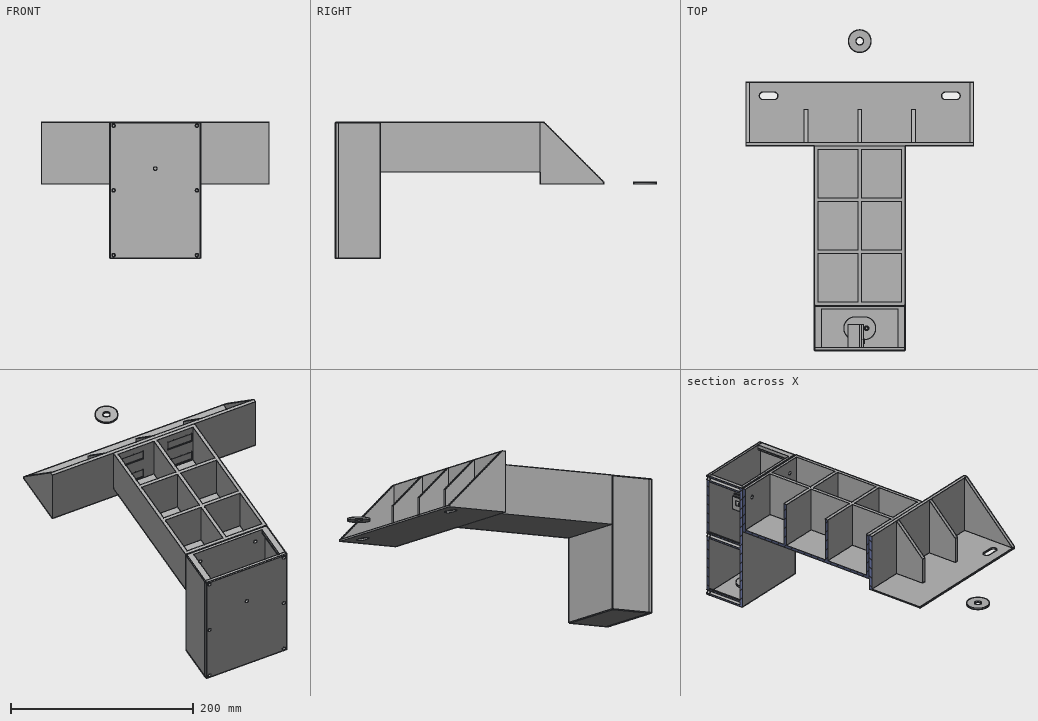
import cadquery as cq
WALL = 4.0
TOP_Z = 150.0
ARM_WIDTH = 100.0
EDGE_CHAMFER = 1.0

BOX_DEPTH = 50.0
LID_THICKNESS = 4.0
BOX_OPENING_WIDTH = 84.0
LID_SCREW_X = 45.75
LID_SCREW_HEIGHTS = (WALL, TOP_Z / 2, TOP_Z - WALL)
LID_SCREW_CLEARANCE = 3.8
LID_SCREW_PILOT = 2.95
LID_SCREW_BOSS = 8.0
SHAFT_HOLE = 4.0
SHAFT_Z = 98.9

JOINT_HOLE = 4.0
JOINT_HOLE_X = 34.0
JOINT_HOLE_Z = 135.0

TRAY_LENGTH = 175.0
TRAY_HEIGHT = 55.0
TRAY_ROWS = 3
TRAY_COLUMNS = 2
TRAY_DIVIDER = 4.0
TRAY_FRONT_Y = BOX_DEPTH
TRAY_BACK_Y = TRAY_FRONT_Y + TRAY_LENGTH
TRAY_BOTTOM_Z = TOP_Z - TRAY_HEIGHT

RECESS_WIDTH = 30.0
RECESS_HEIGHT = 12.0
RECESS_DEPTH = 1.5
RECESS_X = 30.0
RECESS_CENTRES_Z = (106.0, 134.5)

BRACKET_WIDTH = 250.0
BRACKET_DEPTH = 70.0
BRACKET_HEIGHT = 68.0
BRACKET_FLOOR = 2.0
BRACKET_BOTTOM_Z = TOP_Z - BRACKET_HEIGHT
BRACKET_BACK_Y = TRAY_BACK_Y + BRACKET_DEPTH
RIB_X = (-59.0, 0.0, 59.0)
RIB_LENGTH = 36.0
SLOT_LENGTH = 20.1
SLOT_WIDTH = 8.1
SLOT_X = 100.0
SLOT_Y = BRACKET_BACK_Y - 15.0

WASHER_DIAMETER = 25.0
WASHER_HOLE = 8.1
WASHER_THICKNESS = 2.0
WASHER_Y = 340.0

PAD_LENGTH = 35.0
PAD_WIDTH = 25.0
PAD_THICKNESS = 2.0
PAD_Y = BOX_DEPTH / 2
PAD_HOLE_SPACING = 15.0
PAD_HOLE = 2.95
PAD_COUNTERBORE = 5.0
PAD_COUNTERBORE_DEPTH = 1.0

LATCH_LENGTH = 25.0
LATCH_BOTTOM_Z = 90.0
LATCH_LEFT_X = -13.0
LATCH_STEPS = ((-0.2, 110.0), (1.9, 108.0), (4.0, 106.0))
COLLAR_DIAMETER = 10.0
COLLAR_Y = 8.5
COLLAR_LENGTH = 4.5


def block(x_min, x_max, y_min, y_max, z_min, z_max):
    """Axis-aligned block between the given limits."""
    size = (x_max - x_min, y_max - y_min, z_max - z_min)
    return cq.Workplane("XY").box(*size, centered=False).translate((x_min, y_min, z_min))


def centred_block(width, y_min, y_max, z_min, z_max, x=0.0):
    """Block centred on x across its width."""
    return block(x - width / 2, x + width / 2, y_min, y_max, z_min, z_max)


def rod_y(diameter, x, z, y_min, y_max):
    """Cylinder along Y."""
    rod = cq.Workplane("XZ").circle(diameter / 2).extrude(-(y_max - y_min))
    return rod.translate((x, y_min, z))


def joint_holes():
    """Screw holes through the two walls where box and tray meet."""
    holes = cq.Workplane("XY")
    for x in (-JOINT_HOLE_X, JOINT_HOLE_X):
        holes = holes.add(rod_y(JOINT_HOLE, x, JOINT_HOLE_Z, BOX_DEPTH - WALL, BOX_DEPTH + WALL))
    return holes.combine()


def lid_screw_rods(diameter, y_min, y_max):
    """Six cylinders, one on each screw axis along the two sides of the lid."""
    rods = cq.Workplane("XY")
    for x in (-LID_SCREW_X, LID_SCREW_X):
        for z in LID_SCREW_HEIGHTS:
            rods = rods.add(rod_y(diameter, x, z, y_min, y_max))
    return rods.combine()


def make_box():
    """Box open towards the lid, with an opening in its top wall and six screw bosses."""
    inner_back_y = BOX_DEPTH - WALL
    body = centred_block(ARM_WIDTH, LID_THICKNESS, BOX_DEPTH, 0, TOP_Z)
    body = body.edges("|Y or >Y").chamfer(EDGE_CHAMFER)
    cavity = centred_block(ARM_WIDTH - 2 * WALL, LID_THICKNESS, inner_back_y, WALL, TOP_Z - WALL)
    opening = centred_block(BOX_OPENING_WIDTH, LID_THICKNESS, inner_back_y, WALL, TOP_Z)
    pilots = lid_screw_rods(LID_SCREW_PILOT, LID_THICKNESS, inner_back_y)
    bosses = lid_screw_rods(LID_SCREW_BOSS, LID_THICKNESS, inner_back_y).intersect(cavity)
    return body.cut(cavity).cut(opening).union(bosses).cut(pilots).cut(joint_holes())


def make_lid():
    """Front cover with screw holes and a central shaft hole."""
    lid = centred_block(ARM_WIDTH, 0, LID_THICKNESS, 0, TOP_Z)
    lid = lid.edges("|Y or <Y").chamfer(EDGE_CHAMFER)
    lid = lid.cut(lid_screw_rods(LID_SCREW_CLEARANCE, 0, LID_THICKNESS))
    return lid.cut(rod_y(SHAFT_HOLE, 0, SHAFT_Z, 0, LID_THICKNESS))


def make_tray():
    """Open tray divided into a grid of cells."""
    tray = centred_block(ARM_WIDTH, TRAY_FRONT_Y, TRAY_BACK_Y, TRAY_BOTTOM_Z, TOP_Z)
    cell_width = (ARM_WIDTH - 2 * WALL - (TRAY_COLUMNS - 1) * TRAY_DIVIDER) / TRAY_COLUMNS
    cell_length = (TRAY_LENGTH - 2 * WALL - (TRAY_ROWS - 1) * TRAY_DIVIDER) / TRAY_ROWS
    for column in range(TRAY_COLUMNS):
        x = -ARM_WIDTH / 2 + WALL + column * (cell_width + TRAY_DIVIDER)
        for row in range(TRAY_ROWS):
            y = TRAY_FRONT_Y + WALL + row * (cell_length + TRAY_DIVIDER)
            cell = block(x, x + cell_width, y, y + cell_length, TRAY_BOTTOM_Z + WALL, TOP_Z)
            tray = tray.cut(cell)
    recess_y = TRAY_BACK_Y - WALL
    for x in (-RECESS_X, RECESS_X):
        for z in RECESS_CENTRES_Z:
            z_min = z - RECESS_HEIGHT / 2
            z_max = z + RECESS_HEIGHT / 2
            recess = centred_block(RECESS_WIDTH, recess_y, recess_y + RECESS_DEPTH, z_min, z_max, x)
            tray = tray.cut(recess)
    return tray.cut(joint_holes())


def bracket_profile(thickness, x):
    """Side outline of the bracket as a plate centred on x."""
    plate = (
        cq.Workplane("YZ")
        .moveTo(TRAY_BACK_Y, BRACKET_BOTTOM_Z)
        .lineTo(BRACKET_BACK_Y, BRACKET_BOTTOM_Z)
        .lineTo(BRACKET_BACK_Y, BRACKET_BOTTOM_Z + BRACKET_FLOOR)
        .lineTo(TRAY_BACK_Y + WALL, TOP_Z)
        .lineTo(TRAY_BACK_Y, TOP_Z)
        .close()
        .extrude(thickness)
    )
    return plate.translate((x - thickness / 2, 0, 0))


def make_bracket():
    """Floor and front wall braced by two side cheeks and three short ribs."""
    wall_back_y = TRAY_BACK_Y + WALL
    floor_top_z = BRACKET_BOTTOM_Z + BRACKET_FLOOR
    bracket = centred_block(BRACKET_WIDTH, TRAY_BACK_Y, wall_back_y, BRACKET_BOTTOM_Z, TOP_Z)
    floor = centred_block(BRACKET_WIDTH, TRAY_BACK_Y, BRACKET_BACK_Y, BRACKET_BOTTOM_Z, floor_top_z)
    bracket = bracket.union(floor)
    cheek_x = (BRACKET_WIDTH - WALL) / 2
    for x in (-cheek_x, cheek_x):
        bracket = bracket.union(bracket_profile(WALL, x))
    rib_limit = centred_block(
        BRACKET_WIDTH, TRAY_BACK_Y, wall_back_y + RIB_LENGTH, BRACKET_BOTTOM_Z, TOP_Z
    )
    for x in RIB_X:
        bracket = bracket.union(bracket_profile(WALL, x).intersect(rib_limit))
    slots = (
        cq.Workplane("XY", origin=(0, 0, BRACKET_BOTTOM_Z))
        .pushPoints([(-SLOT_X, SLOT_Y), (SLOT_X, SLOT_Y)])
        .slot2D(SLOT_LENGTH, SLOT_WIDTH)
        .extrude(BRACKET_HEIGHT)
    )
    return bracket.cut(slots)


def make_washer():
    """Flat washer level with the underside of the bracket."""
    return (
        cq.Workplane("XY", origin=(0, WASHER_Y, BRACKET_BOTTOM_Z))
        .circle(WASHER_DIAMETER / 2)
        .circle(WASHER_HOLE / 2)
        .extrude(WASHER_THICKNESS)
    )


def make_pad():
    """Round-ended pad with two counterbored holes."""
    pad = cq.Workplane("XY", origin=(0, PAD_Y, WALL)).slot2D(PAD_LENGTH, PAD_WIDTH).extrude(PAD_THICKNESS)
    return (
        pad.faces(">Z")
        .workplane(origin=(0, PAD_Y, 0))
        .pushPoints([(-PAD_HOLE_SPACING / 2, 0), (PAD_HOLE_SPACING / 2, 0)])
        .cboreHole(PAD_HOLE, PAD_COUNTERBORE, PAD_COUNTERBORE_DEPTH)
    )


def make_latch():
    """Stepped block on the inner face of the lid, with a collar on the shaft axis."""
    latch = rod_y(COLLAR_DIAMETER, 0, SHAFT_Z, COLLAR_Y, COLLAR_Y + COLLAR_LENGTH)
    left_x = LATCH_LEFT_X
    for right_x, top_z in LATCH_STEPS:
        step = block(
            left_x, right_x, LID_THICKNESS, LID_THICKNESS + LATCH_LENGTH, LATCH_BOTTOM_Z, top_z
        )
        latch = latch.union(step)
        left_x = right_x
    return latch


box = make_box()
lid = make_lid()
tray = make_tray()
bracket = make_bracket()
washer = make_washer()
pad = make_pad()
latch = make_latch()

bodies = (box, lid, tray, bracket, washer, pad, latch)
result = cq.Compound.makeCompound([body.solids().val() for body in bodies])